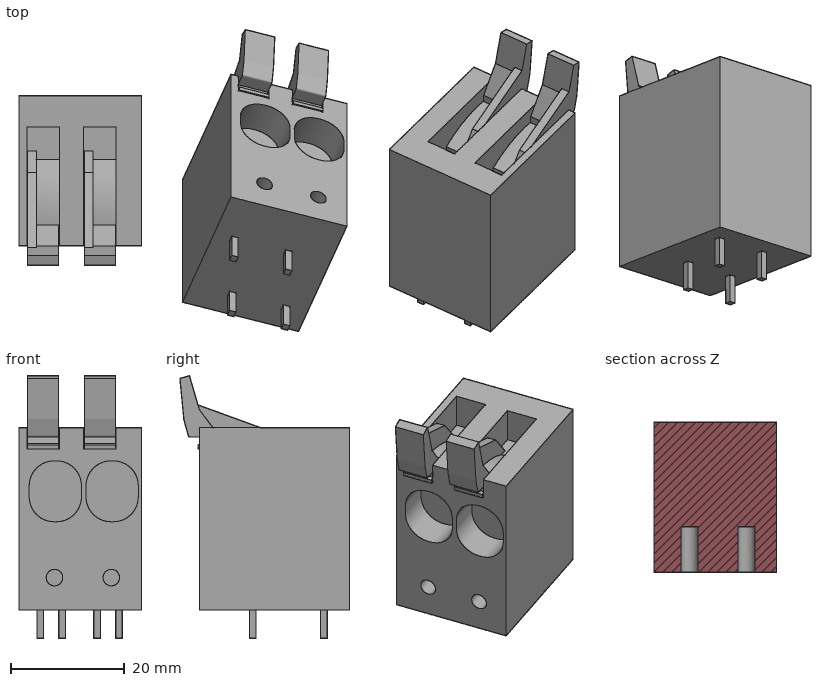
import cadquery as cq
import math


POLE_COUNT = 2
POLE_PITCH = 10.0

HOUSING_WIDTH = 21.57
HOUSING_DEPTH = 26.45
HOUSING_HEIGHT = 32.1

SLOT_LEFT = 1.4
SLOT_WIDTH = 5.7
SLOT_BACK = 20.9
SLOT_FLOOR = HOUSING_HEIGHT - 6.2
SILL = HOUSING_HEIGHT - 3.8

HUMP_RADIUS = 21.0
HUMP_CREST_Y = 5.6
HUMP_BACK = 15.2
HUMP_AXIS_Z = SILL - math.sqrt(HUMP_RADIUS**2 - HUMP_CREST_Y**2)

ENTRY_CENTER_X = 6.4
ENTRY_CENTER_Z = 20.88
ENTRY_WIDTH = 9.2
ENTRY_HEIGHT = 10.72
ENTRY_CORNER = 4.4
ENTRY_DEPTH = 6.1
TEST_HOLE_X = 6.25
TEST_HOLE_Z = 5.7
TEST_HOLE_DIAMETER = 2.9
TEST_HOLE_DEPTH = 8.0

SIDE_CLEARANCE = 0.1
LEVER_LEFT = SLOT_LEFT + SIDE_CLEARANCE
LEVER_WIDTH = SLOT_WIDTH - 2 * SIDE_CLEARANCE
WEB_THICKNESS = 1.55
WEB_BEND_Y = 12.95
WEB_SLOPE = math.radians(20.0)
FOOT_BACK = 3.65
FOOT_SLOPE = math.radians(53.0)
HEEL_ROUND = 0.35

PIN_SIDE = 1.2
PIN_LENGTH = 5.0
FRONT_PIN = (3.75, 9.4)
BACK_PIN = (7.6, 21.9)
BAR_BOTTOM = 1.0
BAR_HEIGHT = 1.2


def hump_height(y):
    """Height of the hump surface at a distance y behind the front face."""
    return HUMP_AXIS_Z + math.sqrt(HUMP_RADIUS**2 - (y - HUMP_CREST_Y) ** 2)


def side_sketch(x):
    """Workplane at x whose local axes are Y and Z."""
    return cq.Workplane("YZ", origin=(x, 0, 0))


def front_sketch(x, z):
    """Workplane on the front face, centred at (x, z); negative extrusions go into the housing."""
    return cq.Workplane("XZ", origin=(x, 0, z))


def slot_cutter(pole_x):
    return (
        side_sketch(pole_x + SLOT_LEFT)
        .moveTo(0, SILL)
        .threePointArc(
            (HUMP_CREST_Y, hump_height(HUMP_CREST_Y)),
            (HUMP_BACK, hump_height(HUMP_BACK)),
        )
        .lineTo(HUMP_BACK, SLOT_FLOOR)
        .lineTo(SLOT_BACK, SLOT_FLOOR)
        .lineTo(SLOT_BACK, HOUSING_HEIGHT)
        .lineTo(0, HOUSING_HEIGHT)
        .close()
        .extrude(SLOT_WIDTH)
    )


def entry_cutter(pole_x):
    return (
        front_sketch(pole_x + ENTRY_CENTER_X, ENTRY_CENTER_Z)
        .rect(ENTRY_WIDTH, ENTRY_HEIGHT)
        .extrude(-ENTRY_DEPTH)
        .edges("|Y")
        .fillet(ENTRY_CORNER)
    )


def test_hole_cutter(pole_x):
    return (
        front_sketch(pole_x + TEST_HOLE_X, TEST_HOLE_Z)
        .circle(TEST_HOLE_DIAMETER / 2)
        .extrude(-TEST_HOLE_DEPTH)
    )


def make_contact(pole_x):
    front_x, front_y = FRONT_PIN
    back_x, back_y = BACK_PIN
    pins = (
        cq.Workplane("XY", origin=(pole_x, 0, -PIN_LENGTH))
        .pushPoints([FRONT_PIN, BACK_PIN])
        .rect(PIN_SIDE, PIN_SIDE)
        .extrude(PIN_LENGTH + BAR_BOTTOM + BAR_HEIGHT)
    )
    bar_plane = cq.Workplane("XY", origin=(pole_x, 0, BAR_BOTTOM))
    long_leg = (
        bar_plane.center(front_x, (front_y + back_y) / 2)
        .rect(PIN_SIDE, back_y - front_y + PIN_SIDE)
        .extrude(BAR_HEIGHT)
    )
    short_leg = (
        bar_plane.center((front_x + back_x) / 2, back_y)
        .rect(back_x - front_x + PIN_SIDE, PIN_SIDE)
        .extrude(BAR_HEIGHT)
    )
    return long_leg.union(short_leg).union(pins)


def side_relief_cutter(pole_x, handle_root, handle_tip_back):
    """Space beside the web: behind the handle and above and behind the steep foot below it."""
    root_y, root_z = handle_root
    tip_y, tip_z = handle_tip_back
    handle_lean = (root_y - tip_y) / (tip_z - root_z)
    foot_top_z = root_z + root_y / handle_lean
    foot_back_z = foot_top_z - FOOT_BACK * math.tan(FOOT_SLOPE)
    return (
        side_sketch(pole_x + LEVER_LEFT + WEB_THICKNESS)
        .moveTo(root_y, root_z)
        .lineTo(0, foot_top_z)
        .lineTo(FOOT_BACK, foot_back_z)
        .lineTo(FOOT_BACK, 0)
        .lineTo(HOUSING_DEPTH, 0)
        .lineTo(HOUSING_DEPTH, root_z)
        .close()
        .extrude(LEVER_WIDTH)
    )


def make_lever(pole_x):
    top = HOUSING_HEIGHT
    handle_root = (-0.25, top + 4.0)
    handle_tip_back = (-1.73, top + 9.14)
    handle_tip_front = (-3.45, top + 8.65)
    handle_bend = (-2.75, top + 1.42)
    heel = (-1.9, top - 1.67)
    notch_top = (0.52, top - 1.67)
    notch_bottom = (0.33, top - 2.8)
    lip_top = (-0.26, top - 3.08)
    lip_bottom = (-0.23, SILL)
    web_bend = (WEB_BEND_Y, handle_root[1] - (WEB_BEND_Y - handle_root[0]) * math.tan(WEB_SLOPE))
    web_tail = (16.7, top - 5.45)
    web_foot = (HUMP_BACK, hump_height(HUMP_BACK))

    profile = (
        side_sketch(pole_x + LEVER_LEFT)
        .moveTo(*handle_root)
        .lineTo(*handle_tip_back)
        .lineTo(*handle_tip_front)
        .lineTo(*handle_bend)
        .lineTo(*heel)
        .lineTo(*notch_top)
        .lineTo(*notch_bottom)
        .lineTo(*lip_top)
        .lineTo(*lip_bottom)
        .lineTo(0, SILL)
        .threePointArc((HUMP_CREST_Y, hump_height(HUMP_CREST_Y)), web_foot)
        .lineTo(*web_tail)
        .lineTo(*web_bend)
        .close()
    )
    lever = profile.extrude(LEVER_WIDTH)
    heel_edge = cq.selectors.NearestToPointSelector((pole_x + LEVER_LEFT + LEVER_WIDTH / 2, *heel))
    lever = lever.edges(heel_edge).fillet(HEEL_ROUND)

    return lever.cut(side_relief_cutter(pole_x, handle_root, handle_tip_back))


def make_housing(contacts):
    housing = cq.Workplane("XY").box(HOUSING_WIDTH, HOUSING_DEPTH, HOUSING_HEIGHT, centered=False)
    for pole_x in pole_positions:
        housing = housing.cut(slot_cutter(pole_x))
        housing = housing.cut(entry_cutter(pole_x))
        housing = housing.cut(test_hole_cutter(pole_x))
    for contact in contacts:
        housing = housing.cut(contact)
    return housing


pole_positions = [pole * POLE_PITCH for pole in range(POLE_COUNT)]
contacts = [make_contact(pole_x) for pole_x in pole_positions]
levers = [make_lever(pole_x) for pole_x in pole_positions]
housing = make_housing(contacts)

result = cq.Compound.makeCompound(
    [housing.val()]
    + [lever.val() for lever in levers]
    + [contact.val() for contact in contacts]
)